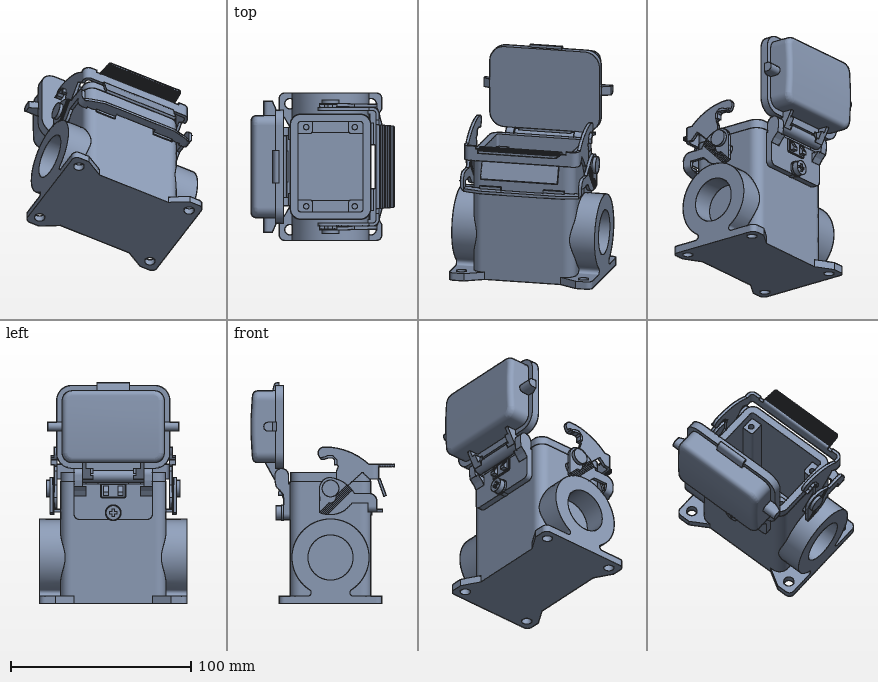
import cadquery as cq
import math



def slab(profile, y_min, y_max):
    """Extrude a closed XZ outline from y_min to y_max."""
    return profile.extrude(y_min - y_max).translate((0, y_min, 0))


def outline(points):
    """Closed straight-sided XZ outline."""
    return cq.Workplane("XZ").polyline(points).close()


def disc(center_x, center_z, radius, y_min, y_max):
    """Cylinder along Y."""
    return slab(cq.Workplane("XZ").center(center_x, center_z).circle(radius), y_min, y_max)


def block(x_min, x_max, y_min, y_max, z_min, z_max):
    """Axis-aligned box given by its limits."""
    size = (x_max - x_min, y_max - y_min, z_max - z_min)
    return cq.Workplane("XY").box(*size, centered=False).translate((x_min, y_min, z_min))


def both_sides(shape):
    """The shape together with its mirror image across Y = 0."""
    return shape.union(shape.mirror("XZ"))



BASE_LENGTH = 57.1
BASE_WIDTH = 82.0
BASE_HEIGHT = 4.25
BASE_CORNER = 3.1
BASE_STRAIGHT_END = 32.1
BASE_SLANT_END = 21.8
MOUNT_HOLE_DIAMETER = 5.7
MOUNT_HOLE_X = 22.5
MOUNT_HOLE_Y = 35.0

BODY_LENGTH = 44.8
BODY_WIDTH = 58.5
BODY_HEIGHT = 73.0
BODY_CORNER = 5.8
RIM_BASE_Z = 68.0
RIM_INSET = 0.2
BODY_X = BODY_LENGTH / 2
BODY_Y = BODY_WIDTH / 2

PORT_RADIUS = 21.4
PORT_BORE_DIAMETER = 25.1
PORT_BORE_END_Y = 28.2
PORT_Z = BASE_HEIGHT + PORT_RADIUS
PORT_ROOT_RADIUS = 1.85

CAVITY_LENGTH = 36.1
CAVITY_WIDTH = 50.2
CAVITY_CORNER = 1.5
BOSS_LENGTH = 8.0
BOSS_WIDTH = 6.7
BOSS_TOP = 66.0
BOSS_HOLE_DIAMETER = 3.0
BOSS_HOLE_DEPTH = 10.0
BOSS_HOLE_X = 13.5
BOSS_HOLE_Y = 22.0
LEDGE_WIDTH = 6.2
LEDGE_TOP = 10.0


def base_plate():
    half_x = BASE_LENGTH / 2
    half_y = BASE_WIDTH / 2
    quarter = [(half_x, half_y), (half_x, BASE_STRAIGHT_END), (BODY_X, BASE_SLANT_END)]
    right = quarter + [(x, -y) for x, y in reversed(quarter)]
    left = [(-x, y) for x, y in reversed(right)]
    plate = cq.Workplane("XY").polyline(right + left).close().extrude(BASE_HEIGHT)
    for x_side in (-1, 1):
        for y_side in (-1, 1):
            corner = cq.selectors.NearestToPointSelector((x_side * half_x, y_side * half_y, BASE_HEIGHT / 2))
            plate = plate.edges(corner).fillet(BASE_CORNER)
    holes = (
        cq.Workplane("XY")
        .rect(2 * MOUNT_HOLE_X, 2 * MOUNT_HOLE_Y, forConstruction=True)
        .vertices()
        .circle(MOUNT_HOLE_DIAMETER / 2)
        .extrude(BASE_HEIGHT)
    )
    return plate.cut(holes)


def cable_ports():
    y_outer = BASE_WIDTH / 2
    ports = disc(0, PORT_Z, PORT_RADIUS, -y_outer, y_outer)
    root_z = BASE_HEIGHT + PORT_ROOT_RADIUS
    reach = PORT_RADIUS + PORT_ROOT_RADIUS
    root_x = math.sqrt(reach**2 - (PORT_Z - root_z) ** 2)
    touch_x = root_x * PORT_RADIUS / reach
    touch_z = PORT_Z - (PORT_Z - root_z) * PORT_RADIUS / reach
    web_points = [(-root_x, BASE_HEIGHT), (root_x, BASE_HEIGHT), (root_x, root_z), (touch_x, touch_z)]
    web_points += [(-touch_x, touch_z), (-root_x, root_z)]
    web = slab(outline(web_points), -y_outer, y_outer)
    for side in (-1, 1):
        web = web.cut(disc(side * root_x, root_z, PORT_ROOT_RADIUS, -y_outer, y_outer))
    return ports.union(web)


def cavity():
    pocket = (
        cq.Workplane("XY", origin=(0, 0, BASE_HEIGHT))
        .rect(CAVITY_LENGTH, CAVITY_WIDTH)
        .extrude(BODY_HEIGHT - BASE_HEIGHT)
        .edges("|Z")
        .fillet(CAVITY_CORNER)
    )
    half_x = CAVITY_LENGTH / 2
    half_y = CAVITY_WIDTH / 2
    ledge = block(-half_x, half_x, half_y - LEDGE_WIDTH, half_y, 0, LEDGE_TOP)
    boss = block(half_x - BOSS_LENGTH, half_x, half_y - BOSS_WIDTH, half_y, 0, BOSS_TOP)
    boss = boss.edges("|Z and <X and <Y").fillet(CAVITY_CORNER)
    hole = cq.Workplane("XY", origin=(BOSS_HOLE_X, BOSS_HOLE_Y, BOSS_TOP - BOSS_HOLE_DEPTH))
    boss = boss.cut(hole.circle(BOSS_HOLE_DIAMETER / 2).extrude(BOSS_HOLE_DEPTH))
    bosses = boss.union(boss.mirror("YZ"))
    return pocket.cut(both_sides(bosses.union(ledge)))


def housing():
    body = cq.Workplane("XY").rect(BODY_LENGTH, BODY_WIDTH).extrude(RIM_BASE_Z)
    body = body.edges("|Z").fillet(BODY_CORNER)
    rim_length = BODY_LENGTH - 2 * RIM_INSET
    rim_width = BODY_WIDTH - 2 * RIM_INSET
    rim = cq.Workplane("XY").rect(rim_length, rim_width).extrude(BODY_HEIGHT)
    body = body.union(rim.edges("|Z").fillet(BODY_CORNER - RIM_INSET))
    shell = base_plate().union(cable_ports()).union(body).cut(cavity())
    bore = disc(0, PORT_Z, PORT_BORE_DIAMETER / 2, PORT_BORE_END_Y, BASE_WIDTH / 2)
    return shell.cut(both_sides(bore))



BRACKET_X = -26.0
BRACKET_HALF_WIDTH = 21.8
BRACKET_BOTTOM = 46.8
BRACKET_TOP = 66.6
BRACKET_CORNER = 3.0
HINGE_X = -27.1
HINGE_Z = 71.3
HINGE_RADIUS = 3.8
EAR_INNER_Y = 17.2
FOOT_INNER_Y = 15.0
FOOT_TOP = 65.0
FOOT_BOTTOM = 59.8
FOOT_SHOULDER = (-30.3, FOOT_TOP)
FOOT_KNEE = (-27.7, 62.4)
EAR_STRAIGHT_END = 68.3
LIP_X = -24.1
LIP_HALF_WIDTH = 15.0
LIP_TOP = 67.3
LIP_NOTCH_X = -23.6
LIP_NOTCH_HALF_WIDTH = 8.6

SCREW_Z = 50.5
SCREW_HEAD_RADIUS = 4.0
SCREW_WASHER_RADIUS = 4.35
SCREW_WASHER_X = -27.1
SCREW_HEAD_X = -30.3
CROSS_LENGTH = 4.3
CROSS_WIDTH = 1.2
CROSS_DEPTH = 1.0

CLIP_PAD_X = -26.75
CLIP_PAD_HALF_WIDTH = 7.1
CLIP_PAD_BOTTOM = 58.8
CLIP_PAD_CORNER = 1.2
CLIP_PAD_CHAMFER = 0.45
CLIP_TOOTH_X = -29.0
CLIP_TOOTH_INNER_Y = 2.5
CLIP_TOOTH_OUTER_Y = 5.5
CLIP_TOOTH_BOTTOM = 60.2
CLIP_TOOTH_NOSE = 61.9


def hinge_bracket():
    plate = block(BRACKET_X, -BODY_X, -BRACKET_HALF_WIDTH, BRACKET_HALF_WIDTH, BRACKET_BOTTOM, BRACKET_TOP)
    plate = plate.edges("|X and <Z").fillet(BRACKET_CORNER)
    ear_left = HINGE_X - HINGE_RADIUS
    ear_right = HINGE_X + HINGE_RADIUS
    ear_outline = (
        cq.Workplane("XZ")
        .moveTo(ear_right, BRACKET_TOP)
        .lineTo(ear_right, HINGE_Z)
        .threePointArc((HINGE_X, HINGE_Z + HINGE_RADIUS), (ear_left, HINGE_Z))
        .lineTo(ear_left, EAR_STRAIGHT_END)
        .lineTo(*FOOT_SHOULDER)
        .lineTo(*FOOT_KNEE)
        .lineTo(BRACKET_X, FOOT_BOTTOM)
        .lineTo(ear_right, FOOT_BOTTOM)
        .close()
    )
    ear = slab(ear_outline, EAR_INNER_Y, BRACKET_HALF_WIDTH)
    foot_points = [(BRACKET_X, FOOT_BOTTOM), FOOT_KNEE, FOOT_SHOULDER, (BRACKET_X, FOOT_TOP)]
    foot = slab(outline(foot_points), FOOT_INNER_Y, EAR_INNER_Y)
    lip = block(LIP_X, -BODY_X, -LIP_HALF_WIDTH, LIP_HALF_WIDTH, BRACKET_TOP, LIP_TOP)
    notch = block(LIP_X, LIP_NOTCH_X, -LIP_NOTCH_HALF_WIDTH, LIP_NOTCH_HALF_WIDTH, BRACKET_TOP, LIP_TOP)
    web = block(LIP_X, ear_right, LIP_HALF_WIDTH, EAR_INNER_Y, BRACKET_TOP, LIP_TOP)
    return plate.union(lip.cut(notch)).union(both_sides(ear.union(foot).union(web)))


def bracket_clip():
    pad = block(
        CLIP_PAD_X, BRACKET_X, -CLIP_PAD_HALF_WIDTH, CLIP_PAD_HALF_WIDTH, CLIP_PAD_BOTTOM, BRACKET_TOP
    )
    pad = pad.edges("|X and <Z").fillet(CLIP_PAD_CORNER).faces("<X").chamfer(CLIP_PAD_CHAMFER)
    tooth_points = [
        (BRACKET_X, BRACKET_TOP),
        (CLIP_TOOTH_X, CLIP_TOOTH_NOSE),
        (CLIP_TOOTH_X, CLIP_TOOTH_BOTTOM),
        (BRACKET_X, CLIP_TOOTH_BOTTOM),
    ]
    tooth = slab(outline(tooth_points), CLIP_TOOTH_INNER_Y, CLIP_TOOTH_OUTER_Y)
    return pad.union(both_sides(tooth))


def bracket_screw():
    center = cq.Workplane("YZ", origin=(SCREW_HEAD_X, 0, SCREW_Z))
    head = center.circle(SCREW_HEAD_RADIUS).extrude(-BODY_X - SCREW_HEAD_X)
    washer = (
        cq.Workplane("YZ", origin=(SCREW_WASHER_X, 0, SCREW_Z))
        .circle(SCREW_WASHER_RADIUS)
        .extrude(BRACKET_X - SCREW_WASHER_X)
    )
    cross = center.rect(CROSS_LENGTH, CROSS_WIDTH).extrude(CROSS_DEPTH)
    cross = cross.union(center.rect(CROSS_WIDTH, CROSS_LENGTH).extrude(CROSS_DEPTH))
    return head.union(washer).cut(cross)



COVER_CENTER_Z = 98.3
COVER_BACK_X = -26.0
FLANGE_X = -30.5
FLANGE_HALF_WIDTH = 31.5
FLANGE_BOTTOM = 75.2
FLANGE_TOP = 121.3
FLANGE_CORNER = 8.5
COVER_HALF_WIDTH = 28.4
COVER_HALF_HEIGHT = 20.0
COVER_CROWN_X = -44.25
COVER_EDGE_X = -43.1
COVER_CORNER = 5.5
COVER_FACE_FILLET = 3.0
COVER_BOTTOM = COVER_CENTER_Z - COVER_HALF_HEIGHT
COVER_TOP = COVER_CENTER_Z + COVER_HALF_HEIGHT

TAB_HALF_WIDTH = 9.1
TAB_TOP = 122.73
TAB_BACK_X = -28.5

STUD_RADIUS = 2.5
STUD_X = -34.6
STUD_SHOULDER_X = -32.3
STUD_END_Y = 36.5
STUD_ROOT_Y = 31.5
STUD_ROOT_X = -30.1

RIB_INNER_Y = 15.0
RIB_OUTER_Y = 17.1
RIB_TOP_X = -36.3
RIB_FOOT_X = -31.2
RIB_FOOT_Z = 69.1
CHEEK_UPPER_Y = 12.7
CHEEK_LOWER_Y = 11.2
CHEEK_STEP_Z = 71.3
POST_X = -30.9
HINGE_PIN_RADIUS = 1.5
BARREL_X = -27.9
BARREL_Z = 70.7
BARREL_RADIUS = 3.35
BARREL_WEB_X = -26.5


def cover_shell():
    flange = block(FLANGE_X, COVER_BACK_X, -FLANGE_HALF_WIDTH, FLANGE_HALF_WIDTH, FLANGE_BOTTOM, FLANGE_TOP)
    flange = flange.edges("|X").fillet(FLANGE_CORNER)
    dome_outline = (
        cq.Workplane("XZ")
        .moveTo(FLANGE_X, COVER_TOP)
        .lineTo(COVER_EDGE_X, COVER_TOP)
        .threePointArc((COVER_CROWN_X, COVER_CENTER_Z), (COVER_EDGE_X, COVER_BOTTOM))
        .lineTo(FLANGE_X, COVER_BOTTOM)
        .close()
    )
    dome = slab(dome_outline, -COVER_HALF_WIDTH, COVER_HALF_WIDTH)
    dome = dome.edges("|X").fillet(COVER_CORNER).faces("<X").edges().fillet(COVER_FACE_FILLET)
    return flange.union(dome)


def cover_tab():
    profile = (
        cq.Workplane("XZ")
        .moveTo(FLANGE_X, COVER_TOP)
        .lineTo(-32.2, COVER_TOP)
        .lineTo(-31.3, 121.6)
        .threePointArc((-30.65, 122.4), (-29.7, TAB_TOP))
        .lineTo(TAB_BACK_X, TAB_TOP)
        .lineTo(TAB_BACK_X, FLANGE_TOP)
        .lineTo(FLANGE_X, FLANGE_TOP)
        .close()
    )
    return slab(profile, -TAB_HALF_WIDTH, TAB_HALF_WIDTH)


def locking_stud():
    bottom = COVER_CENTER_Z - STUD_RADIUS
    top = COVER_CENTER_Z + STUD_RADIUS
    section = (
        cq.Workplane("XZ")
        .moveTo(STUD_ROOT_X, bottom)
        .lineTo(STUD_X, bottom)
        .threePointArc((STUD_X - STUD_RADIUS, COVER_CENTER_Z), (STUD_X, top))
        .lineTo(STUD_ROOT_X, top)
        .close()
    )
    bar = slab(section, COVER_HALF_WIDTH, STUD_END_Y)
    taper = (
        cq.Workplane("XY", origin=(0, 0, bottom))
        .polyline([(STUD_SHOULDER_X, STUD_END_Y), (STUD_ROOT_X, STUD_END_Y), (STUD_ROOT_X, STUD_ROOT_Y)])
        .close()
        .extrude(2 * STUD_RADIUS)
    )
    return bar.cut(taper)


def cover_hinge():
    barrel = disc(BARREL_X, BARREL_Z, BARREL_RADIUS, -RIB_OUTER_Y, RIB_OUTER_Y)
    pin = disc(HINGE_X, HINGE_Z, HINGE_PIN_RADIUS, -BRACKET_HALF_WIDTH, BRACKET_HALF_WIDTH)
    rib_points = [
        (RIB_TOP_X, COVER_BOTTOM),
        (FLANGE_X, COVER_BOTTOM),
        (HINGE_X, HINGE_Z),
        (RIB_FOOT_X, RIB_FOOT_Z),
    ]
    rib = slab(outline(rib_points), RIB_INNER_Y, RIB_OUTER_Y)
    cheek = slab(outline(rib_points), CHEEK_LOWER_Y, RIB_INNER_Y)
    lower_part = block(RIB_TOP_X, HINGE_X, CHEEK_LOWER_Y, RIB_INNER_Y, RIB_FOOT_Z, CHEEK_STEP_Z)
    upper_part = block(RIB_TOP_X, HINGE_X, CHEEK_UPPER_Y, RIB_INNER_Y, CHEEK_STEP_Z, FLANGE_BOTTOM)
    cheek = cheek.intersect(lower_part.union(upper_part))
    barrel_top = BARREL_Z + BARREL_RADIUS
    web = block(FLANGE_X, BARREL_WEB_X, -RIB_INNER_Y, RIB_INNER_Y, barrel_top, FLANGE_BOTTOM)
    neck = block(BARREL_X, BARREL_WEB_X, -RIB_INNER_Y, RIB_INNER_Y, BARREL_Z, barrel_top)
    post = block(POST_X, BARREL_X, CHEEK_LOWER_Y, CHEEK_UPPER_Y, CHEEK_STEP_Z, FLANGE_BOTTOM)
    arms = both_sides(rib.union(cheek).union(post))
    return barrel.union(web).union(neck).union(pin).union(arms)


def cover():
    shell = cover_shell().union(cover_tab()).union(both_sides(locking_stud()))
    return shell.union(cover_hinge())



HANDLE_SHEET = 1.7
HANDLE_OUTER_Y = 32.9
HANDLE_INNER_Y = HANDLE_OUTER_Y - HANDLE_SHEET
HANDLE_OUTER_X = 26.9
HANDLE_INNER_X = HANDLE_OUTER_X - HANDLE_SHEET
HANDLE_BEND_RADIUS = 3.5
HANDLE_WALL_TOP = 77.5
HANDLE_WALL_BOTTOM = 69.2
HANDLE_LEG_X = 3.3
HANDLE_LEG_Z = 59.0
HANDLE_LEG_RADIUS = 6.0
HANDLE_REACH_X = -12.0
HANDLE_REACH_Z = 100.0
LIP_OUTER_Y = 34.6

GRIP_ROOT_HALF_WIDTH = 23.4
GRIP_TIP_HALF_WIDTH = 22.6
GRIP_TIP_X = 35.55
GRIP_THICKNESS = 1.6
GRIP_CORNER = 1.0
GROOVE_PITCH = 1.4
GROOVE_WIDTH = 0.7
GROOVE_DEPTH = 0.3
GROOVE_COUNT = 6
GRIP_BEND_RADIUS = 1.4
RELIEF_WIDTH = 2.6

FLAP_HALF_WIDTH = 22.0


def handle_frame():
    """Bent strip, U-shaped in plan, trimmed to the hooked side profile."""

    def plan(outer_x, outer_y, radius):
        frame = block(HANDLE_REACH_X, outer_x, -outer_y, outer_y, 0, HANDLE_REACH_Z)
        return frame.edges("|Z and >X").fillet(radius)

    strip = plan(HANDLE_OUTER_X, HANDLE_OUTER_Y, HANDLE_BEND_RADIUS)
    strip = strip.cut(plan(HANDLE_INNER_X, HANDLE_INNER_Y, HANDLE_BEND_RADIUS - HANDLE_SHEET))
    side = (
        cq.Workplane("XZ")
        .moveTo(HANDLE_OUTER_X, HANDLE_WALL_BOTTOM)
        .lineTo(HANDLE_OUTER_X, HANDLE_WALL_TOP)
        .lineTo(21.3, HANDLE_WALL_TOP)
        .threePointArc((11.6, 83.9), (-0.2, 87.0))
        .lineTo(-3.7, 87.0)
        .threePointArc((-6.3, 85.7), (-6.8, 82.8))
        .lineTo(-6.0, 81.2)
        .lineTo(-5.2, 80.2)
        .lineTo(-3.3, 80.2)
        .lineTo(-1.5, 80.8)
        .lineTo(1.2, 80.8)
        .lineTo(2.2, 79.9)
        .lineTo(2.2, 77.1)
        .lineTo(3.6, 77.1)
        .lineTo(4.3, 76.3)
        .lineTo(HANDLE_LEG_X, 73.8)
        .lineTo(HANDLE_LEG_X, 66.0)
        .lineTo(-HANDLE_LEG_RADIUS, HANDLE_LEG_Z)
        .threePointArc((0, HANDLE_LEG_Z - HANDLE_LEG_RADIUS), (HANDLE_LEG_RADIUS, HANDLE_LEG_Z))
        .lineTo(9.6, 65.5)
        .lineTo(17.7, 73.0)
        .lineTo(21.7, HANDLE_WALL_BOTTOM)
        .close()
    )
    return strip.intersect(slab(side, -HANDLE_OUTER_Y, HANDLE_OUTER_Y))


def hook_lip():
    upper_edge = [(-6.0, 81.2), (-3.4, 81.4), (-1.5, 82.3), (1.1, 82.4), (3.6, 79.8), (3.6, 77.1)]
    lower_edge = [(2.2, 77.1), (2.2, 79.9), (1.2, 80.8), (-1.5, 80.8), (-3.3, 80.2), (-5.2, 80.2)]
    return slab(outline(upper_edge + lower_edge), HANDLE_INNER_Y, LIP_OUTER_Y)


def grip():
    bottom = HANDLE_WALL_TOP - GRIP_THICKNESS
    plate = (
        cq.Workplane("XY", origin=(0, 0, bottom))
        .polyline(
            [
                (HANDLE_INNER_X, -GRIP_ROOT_HALF_WIDTH),
                (GRIP_TIP_X, -GRIP_TIP_HALF_WIDTH),
                (GRIP_TIP_X, GRIP_TIP_HALF_WIDTH),
                (HANDLE_INNER_X, GRIP_ROOT_HALF_WIDTH),
            ]
        )
        .close()
        .extrude(GRIP_THICKNESS)
        .edges("|Z and >X")
        .fillet(GRIP_CORNER)
        .edges("<X and >Z")
        .fillet(GRIP_BEND_RADIUS)
    )
    for index in range(GROOVE_COUNT):
        x_max = GRIP_TIP_X - GROOVE_WIDTH - index * GROOVE_PITCH
        for z_min in (bottom, HANDLE_WALL_TOP - GROOVE_DEPTH):
            plate = plate.cut(
                block(
                    x_max - GROOVE_WIDTH,
                    x_max,
                    -GRIP_ROOT_HALF_WIDTH,
                    GRIP_ROOT_HALF_WIDTH,
                    z_min,
                    z_min + GROOVE_DEPTH,
                )
            )
    return plate


def handle_flap():
    points = [(26.1, 69.4), (27.6, 69.4), (31.0, 60.2), (29.6, 59.4)]
    return slab(outline(points), -FLAP_HALF_WIDTH, FLAP_HALF_WIDTH)


def handle():
    frame = handle_frame().union(both_sides(hook_lip()))
    relief = block(
        HANDLE_INNER_X,
        HANDLE_OUTER_X,
        -GRIP_ROOT_HALF_WIDTH - RELIEF_WIDTH,
        GRIP_ROOT_HALF_WIDTH + RELIEF_WIDTH,
        HANDLE_WALL_TOP - GRIP_THICKNESS,
        HANDLE_WALL_TOP,
    )
    return frame.cut(relief).union(grip()).union(handle_flap())



BAIL_INNER_Y = 33.05
BAIL_ARM_Y = 34.8
BAIL_PAD_Y = 35.25
PIVOT_Z = 64.0
PAD_RADIUS = 6.1
RIVET_HEAD_RADIUS = 4.65
RIVET_SHANK_RADIUS = 3.0
RIVET_HEAD_Y = 37.15
JOGGLE_START = 56.8
JOGGLE_END = 51.2
JOGGLE_STEPS = 6

ARM_FOOT_X = 20.8
ARM_TIP_X = 25.8
SHELF_BOTTOM = 50.9
SHELF_TOP = 52.5
SHELF_TIP_X = 29.0
SHELF_BEND_RADIUS = 3.0
BODY_OVERLAP = 0.5
WINDOW_X = 24.7
WINDOW_HALF_WIDTH = 12.2
STOP_X = 23.0
STOP_OUTER_Y = 24.2
STOP_BOTTOM = 49.3
STOP_SHOULDER_X = 24.0
STOP_TOP = 54.0


def bail_side():
    diagonal = PAD_RADIUS * math.sqrt(0.5)
    side = (
        cq.Workplane("XZ")
        .moveTo(-PAD_RADIUS, 50.7)
        .lineTo(-PAD_RADIUS, PIVOT_Z)
        .threePointArc((-diagonal, PIVOT_Z + diagonal), (0, PIVOT_Z + PAD_RADIUS))
        .threePointArc((7.6, 67.2), (13.2, 61.3))
        .lineTo(21.3, 61.3)
        .threePointArc((24.5, 60.0), (ARM_TIP_X, 56.8))
        .lineTo(ARM_TIP_X, SHELF_BOTTOM)
        .lineTo(ARM_FOOT_X, SHELF_BOTTOM)
        .lineTo(ARM_FOOT_X, 55.8)
        .lineTo(12.0, 55.8)
        .lineTo(8.2, 52.1)
        .threePointArc((1.3, 49.5), (-PAD_RADIUS, 50.7))
        .close()
    )
    plate = slab(side, BAIL_INNER_Y, BAIL_PAD_Y)
    step_height = (BAIL_PAD_Y - BAIL_ARM_Y) / JOGGLE_STEPS
    step_offset = (JOGGLE_START - JOGGLE_END) / (JOGGLE_STEPS - 1)
    for index in range(JOGGLE_STEPS):
        offset = JOGGLE_START - index * step_offset
        level = BAIL_PAD_Y - (index + 1) * step_height
        below_line = outline(
            [
                (-PAD_RADIUS, offset - PAD_RADIUS),
                (ARM_TIP_X, offset + ARM_TIP_X),
                (ARM_TIP_X, 0),
                (-PAD_RADIUS, 0),
            ]
        )
        plate = plate.cut(slab(below_line, level, BAIL_PAD_Y))
        above_line = outline(
            [
                (-PAD_RADIUS, offset - PAD_RADIUS),
                (ARM_TIP_X, offset + ARM_TIP_X),
                (-PAD_RADIUS, offset + ARM_TIP_X),
            ]
        )
        back_level = BAIL_INNER_Y + (JOGGLE_STEPS - index) * step_height
        plate = plate.cut(slab(above_line, BAIL_INNER_Y, back_level))
    return plate


def bail_shelf():
    edge = [
        (ARM_FOOT_X, BAIL_INNER_Y),
        (ARM_TIP_X, BAIL_INNER_Y),
        (27.0, 29.7),
        (28.6, 23.5),
        (SHELF_TIP_X, 22.0),
    ]
    mirrored = [(x, -y) for x, y in reversed(edge)]
    shelf = cq.Workplane("XY", origin=(0, 0, SHELF_BOTTOM)).polyline(edge + mirrored).close()
    shelf = shelf.extrude(SHELF_TOP - SHELF_BOTTOM)
    window = block(ARM_FOOT_X, WINDOW_X, -WINDOW_HALF_WIDTH, WINDOW_HALF_WIDTH, SHELF_BOTTOM, SHELF_TOP)
    stop = block(BODY_X, STOP_X, WINDOW_HALF_WIDTH, STOP_OUTER_Y, STOP_BOTTOM, SHELF_TOP)
    shoulder = block(BODY_X, STOP_SHOULDER_X, WINDOW_HALF_WIDTH, STOP_OUTER_Y, SHELF_TOP, STOP_TOP)
    inside = block(0, BODY_X - BODY_OVERLAP, -BODY_Y, BODY_Y, SHELF_BOTTOM, SHELF_TOP)
    return shelf.cut(window).cut(inside).union(both_sides(stop.union(shoulder)))


def rivet():
    head = disc(0, PIVOT_Z, RIVET_HEAD_RADIUS, BAIL_PAD_Y, RIVET_HEAD_Y)
    return head.union(disc(0, HANDLE_LEG_Z, RIVET_SHANK_RADIUS, HANDLE_INNER_Y, BAIL_PAD_Y))


def foot_bend():
    """Corner waste to remove so that the arm foot rolls into the shelf."""
    bend_y = BAIL_ARM_Y - SHELF_BEND_RADIUS
    bend_z = SHELF_BOTTOM + SHELF_BEND_RADIUS
    corner = block(ARM_FOOT_X, ARM_TIP_X, bend_y, BAIL_ARM_Y, SHELF_BOTTOM, bend_z)
    roll = cq.Workplane("YZ", origin=(ARM_FOOT_X, bend_y, bend_z)).circle(SHELF_BEND_RADIUS)
    return corner.cut(roll.extrude(ARM_TIP_X - ARM_FOOT_X))


def bail():
    sides = both_sides(bail_side().union(rivet()))
    return sides.union(bail_shelf()).cut(both_sides(foot_bend()))


result = (
    housing()
    .union(hinge_bracket())
    .union(bracket_clip())
    .union(bracket_screw())
    .union(cover())
    .union(handle())
    .union(bail())
)